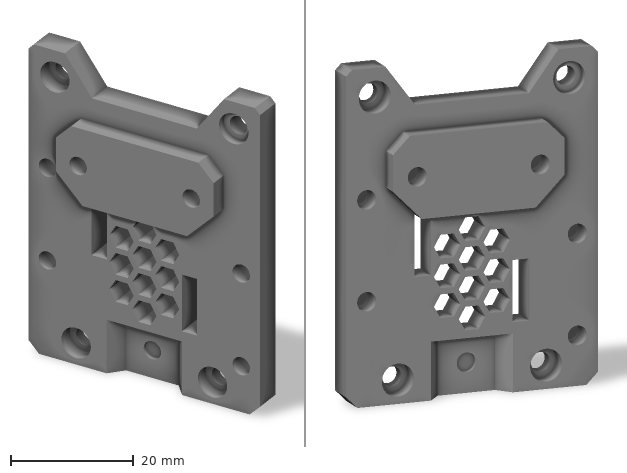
import cadquery as cq
import math

plate_width = 44.1
plate_height = 57.0
overall_depth = 7.8
plate_thickness = 4.8
top_chamfer = 1.0
bottom_chamfer = 2.0
notch_top_half_width = 15.15
notch_floor_half_width = 10.0
notch_depth = 6.9

pad_half_width = 15.05
pad_bottom = 31.6
pad_height = 14.2
pad_thickness = overall_depth - plate_thickness
pad_top_chamfer = 2.95
pad_bottom_chamfer = 5.1

recess_half_width = 7.2
recess_floor_half_width = 5.0
recess_height = 9.9
recess_depth = 2.5

hole_diameter = 3.3
counterbore_diameter = 5.6
top_hole_x = 17.05
top_hole_z = 52.05
top_left_counterbore_depth = 2.85
top_right_counterbore_depth = 1.5
bottom_hole_x = 13.0
bottom_hole_z = 4.0
bottom_left_counterbore_depth = 2.7
bottom_right_counterbore_depth = 2.5

blind_depth = 4.0
recess_hole_depth = 0.75
pad_hole_x = 10.8
pad_hole_z = 38.75
recess_hole_z = 5.15
side_hole_x = 18.45
side_hole_spacing = 17.15
left_hole_z = 17.7
right_hole_z = 8.5

slot_width = 2.9
slot_height = 10.5
slot_x = 8.6
left_slot_bottom = pad_bottom - slot_height
right_slot_bottom = 11.8

hex_across_flats = 4.0
hex_pitch = 5.0
vent_centre_z = 20.75


def extrude_outline(points, y_front, depth):
    """Prism with an (x, z) outline, running from y_front towards the back."""
    return cq.Workplane("XZ", origin=(0, y_front, 0)).polyline(points).close().extrude(-depth)


def drill(x, z, y_front, diameter, depth):
    """Round cutter running from y_front towards the back."""
    return cq.Workplane("XZ", origin=(x, y_front, z)).circle(diameter / 2).extrude(-depth)


def mirrored(right_side):
    """Closed (x, z) outline from its right-hand points."""
    return right_side + [(-x, z) for x, z in reversed(right_side)]


def make_plate():
    half_width = plate_width / 2
    outline = mirrored([
        (half_width - bottom_chamfer, 0),
        (half_width, bottom_chamfer),
        (half_width, plate_height - top_chamfer),
        (half_width - top_chamfer, plate_height),
        (notch_top_half_width, plate_height),
        (notch_floor_half_width, plate_height - notch_depth),
    ])
    return extrude_outline(outline, 0, plate_thickness)


def make_pad():
    pad_top = pad_bottom + pad_height
    outline = mirrored([
        (pad_half_width - pad_bottom_chamfer, pad_bottom),
        (pad_half_width, pad_bottom + pad_bottom_chamfer),
        (pad_half_width, pad_top - pad_top_chamfer),
        (pad_half_width - pad_top_chamfer, pad_top),
    ])
    return extrude_outline(outline, -pad_thickness, pad_thickness)


def make_recess():
    profile = [
        (-recess_half_width, 0),
        (recess_half_width, 0),
        (recess_floor_half_width, recess_depth),
        (-recess_floor_half_width, recess_depth),
    ]
    return cq.Workplane("XY").polyline(profile).close().extrude(recess_height)


def make_slot(x_centre, bottom):
    half_width = slot_width / 2
    outline = [
        (x_centre - half_width, bottom),
        (x_centre + half_width, bottom),
        (x_centre + half_width, bottom + slot_height),
        (x_centre - half_width, bottom + slot_height),
    ]
    return extrude_outline(outline, 0, plate_thickness)


def make_vent():
    """Three columns of hexagons with 3, 4 and 3 cells, each centred on the same height."""
    column_pitch = hex_pitch * math.cos(math.pi / 6)
    hex_across_corners = hex_across_flats / math.cos(math.pi / 6)
    centres = []
    for column, cells in [(-1, 3), (0, 4), (1, 3)]:
        for row in range(cells):
            z = vent_centre_z + (row - (cells - 1) / 2) * hex_pitch
            centres.append((column * column_pitch, z))
    cells_plane = cq.Workplane("XZ").pushPoints(centres)
    return cells_plane.polygon(6, hex_across_corners).extrude(-plate_thickness)


result = make_plate().union(make_pad()).cut(make_recess()).cut(make_vent())
result = result.cut(make_slot(-slot_x, left_slot_bottom))
result = result.cut(make_slot(slot_x, right_slot_bottom))

counterbored_holes = [
    (-top_hole_x, top_hole_z, top_left_counterbore_depth),
    (top_hole_x, top_hole_z, top_right_counterbore_depth),
    (-bottom_hole_x, bottom_hole_z, bottom_left_counterbore_depth),
    (bottom_hole_x, bottom_hole_z, bottom_right_counterbore_depth),
]
for x, z, counterbore_depth in counterbored_holes:
    result = result.cut(drill(x, z, 0, hole_diameter, plate_thickness))
    result = result.cut(drill(x, z, 0, counterbore_diameter, counterbore_depth))

for x in (-pad_hole_x, pad_hole_x):
    result = result.cut(drill(x, pad_hole_z, -pad_thickness, hole_diameter, blind_depth))

for x, lower_z in [(-side_hole_x, left_hole_z), (side_hole_x, right_hole_z)]:
    for z in (lower_z, lower_z + side_hole_spacing):
        result = result.cut(drill(x, z, 0, hole_diameter, blind_depth))

result = result.cut(drill(0, recess_hole_z, recess_depth, hole_diameter, recess_hole_depth))